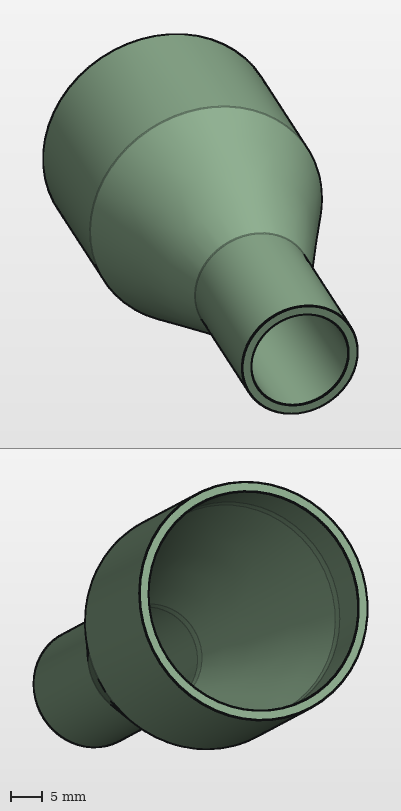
import cadquery as cq

total_length = 76.2
section_length = total_length / 3

large_outer_diameter = 38.1
large_bore_diameter = 34.8
small_outer_diameter = 19.05
small_bore_diameter = 15.8

bore_taper_start = 9.5
bore_taper_length = total_length / 2

outer_blend_radius = 0.8
bore_blend_radius = 6.5
rim_chamfer = 0.13


def stepped_cone(large_diameter, small_diameter, taper_start, taper_length, blend_radius):
    """Solid of revolution about X: large cylinder, cone, small cylinder, with blended joints."""
    large_radius = large_diameter / 2
    small_radius = small_diameter / 2
    body = (
        cq.Workplane("XY")
        .lineTo(0, large_radius)
        .lineTo(taper_start, large_radius)
        .lineTo(taper_start + taper_length, small_radius)
        .lineTo(total_length, small_radius)
        .lineTo(total_length, 0)
        .close()
        .revolve(360, (0, 0, 0), (1, 0, 0))
    )
    return body.faces("%CONE").edges("%CIRCLE").fillet(blend_radius)


outer_body = stepped_cone(
    large_outer_diameter,
    small_outer_diameter,
    section_length,
    section_length,
    outer_blend_radius,
)

bore = stepped_cone(
    large_bore_diameter,
    small_bore_diameter,
    bore_taper_start,
    bore_taper_length,
    bore_blend_radius,
)

reducer = outer_body.cut(bore)
result = reducer.faces("<X or >X").edges("%CIRCLE").chamfer(rim_chamfer)